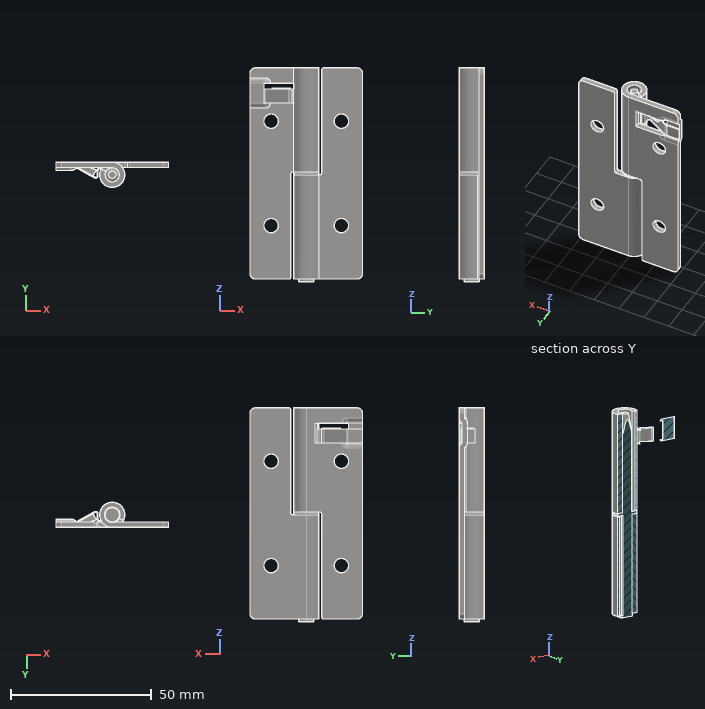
import cadquery as cq
import math


hinge_width = 40.0
leaf_height = 75.0
sheet = 2.0
knuckle_radius = 4.5
bore_radius = knuckle_radius - sheet
leaf_back = knuckle_radius
leaf_front = leaf_back - sheet
leaf_edge = hinge_width / 2
side_gap = 1.0
slot_edge = knuckle_radius + side_gap
outer_corner_radius = 2.0
slot_corner_radius = 0.75
roll_end_angle = 27

lower_knuckle_top = 37.0
collar_height = 1.0
upper_knuckle_bottom = lower_knuckle_top + collar_height
head_radius = 2.7
head_length = 1.0
head_chamfer = 0.2
pin_tip_radius = 1.3
pin_tip_length = 7.0
pin_tip_depth = 0.7

hole_diameter = 5.0
hole_offset = 12.5
hole_pitch = 37.0

bridge_rise = 1.0
bridge_bottom = 62.5
bridge_top = 69.6
bridge_turn = -14.5
bridge_end = -15.0
window_top = 69.5
window_end = -3.05

strip = 0.4
clip_bottom = bridge_bottom
clip_top = 67.5
clip_tail = -leaf_edge
clip_bend_radius = 0.7
clip_leg_x = -5.2
clip_nose_y = -1.5
clip_hook_clearance = 0.2
clip_hook_y = leaf_front - clip_hook_clearance
clip_hook_x = -3.8
tab_rise = 0.2
tab_thickness = 0.3
tab_start = 2.8
tab_end = 8.8
tab_start_depth = 1.8
tab_end_depth = 2.9


def at_angle(radius, degrees):
    """Point on a circle around the hinge axis."""
    angle = math.radians(degrees)
    return (radius * math.cos(angle), radius * math.sin(angle))


def box_between(x1, x2, y1, y2, z1, z2):
    """Box given by its limits along each axis."""
    return cq.Workplane("XY").box(x2 - x1, y2 - y1, z2 - z1, centered=False).translate((x1, y1, z1))



def leaf_plate():
    """Flat part of the right leaf: full width beside its own knuckle, notched above it."""
    reach = slot_corner_radius / 2
    slot_corners = cq.selectors.BoxSelector(
        (slot_edge - reach, leaf_front, lower_knuckle_top - reach),
        (slot_edge + reach, leaf_back, leaf_height + reach),
    ) & cq.selectors.ParallelDirSelector(cq.Vector(0, 1, 0))
    return (
        cq.Workplane("XZ", origin=(0, leaf_back, 0))
        .lineTo(leaf_edge, 0)
        .lineTo(leaf_edge, leaf_height)
        .lineTo(slot_edge, leaf_height)
        .lineTo(slot_edge, lower_knuckle_top)
        .lineTo(0, lower_knuckle_top)
        .close()
        .extrude(sheet)
        .edges("|Y and >X")
        .fillet(outer_corner_radius)
        .edges(slot_corners)
        .fillet(slot_corner_radius)
    )


def rolled_knuckle():
    """Sheet of the right leaf rolled around the pin, starting where the plate touches the axis plane."""
    start, end = 90, 360 + roll_end_angle
    middle = (start + end) / 2
    return (
        cq.Workplane("XY")
        .moveTo(0, knuckle_radius)
        .threePointArc(at_angle(knuckle_radius, middle), at_angle(knuckle_radius, end))
        .lineTo(*at_angle(bore_radius, end))
        .threePointArc(at_angle(bore_radius, middle), (0, bore_radius))
        .close()
        .extrude(lower_knuckle_top)
    )


def screw_holes():
    """Cutter for the two screw holes of the right leaf."""
    return (
        cq.Workplane("XZ", origin=(hole_offset, leaf_back, leaf_height / 2))
        .rarray(0.75, hole_pitch, 1, 2)
        .circle(hole_diameter / 2)
        .extrude(sheet)
    )


def make_leaf():
    return leaf_plate().union(rolled_knuckle()).cut(screw_holes())



bend_angle = math.radians(45)
cos_45 = math.cos(bend_angle)
bend_reach = sheet * cos_45
bend_drop = sheet * (1 - cos_45)
slope_run = bridge_rise - bend_drop
bridge_run = bend_reach + slope_run
half_reach = sheet * math.sin(bend_angle / 2)
half_drop = sheet * (1 - math.cos(bend_angle / 2))


def front_profile(plane):
    """Section through the edge of the bridge, from its front surface to the rear face of the leaf."""
    top = leaf_front - bridge_rise
    return (
        cq.Workplane(plane)
        .moveTo(0, leaf_back)
        .lineTo(0, top)
        .threePointArc((half_reach, top + half_drop), (bend_reach, top + bend_drop))
        .lineTo(bridge_run, leaf_front)
        .lineTo(bridge_run, leaf_back)
        .close()
    )


def channel_profile(plane):
    """Section of the hollow that the bridge leaves in the rear face of the leaf."""
    return (
        cq.Workplane(plane)
        .moveTo(0, leaf_back)
        .lineTo(0, leaf_back - bridge_rise)
        .lineTo(slope_run, leaf_back - bend_drop)
        .threePointArc((bridge_run - half_reach, leaf_back - half_drop), (bridge_run, leaf_back))
        .close()
    )


def bridge_body(profile, crest_y):
    """Solid with the profile along both long sides and turned around the two inner corners."""
    length = bridge_turn + leaf_edge
    upper_corner = cq.Plane((bridge_turn, 0, bridge_top), xDir=(0, 0, 1), normal=(-1, 0, 0))
    upper_side = profile(upper_corner).extrude(length)
    upper_turn = profile(upper_corner).revolve(360, (0, 0), (0, 1))
    upper = upper_side.union(upper_turn)
    lower = upper.mirror("XY", (0, 0, (bridge_bottom + bridge_top) / 2))
    core = box_between(-leaf_edge, bridge_turn, crest_y, leaf_back, bridge_bottom, bridge_top)
    return core.union(upper).union(lower)


def make_left_leaf():
    """The right leaf turned upside down, with the bridge and the window for the clip."""
    middle = leaf_height / 2
    leaf = make_leaf().rotate((0, 0, middle), (0, 1, middle), 180)
    bridge_crest = leaf_front - bridge_rise
    bridge_foot = bridge_turn + bridge_run
    window = box_between(bridge_end, window_end, leaf_front, leaf_back, bridge_bottom, window_top)
    bridge_mouth = box_between(
        bridge_end, bridge_foot, bridge_crest, leaf_front, bridge_bottom, window_top
    )
    return (
        leaf.union(bridge_body(front_profile, bridge_crest))
        .cut(bridge_body(channel_profile, leaf_back - bridge_rise))
        .cut(window)
        .cut(bridge_mouth)
    )



def make_pin():
    """Turned pin: head below the lower knuckle, collar between the knuckles, tapered tip above."""
    collar_middle = lower_knuckle_top + collar_height / 2
    rim_radius = collar_height / 2
    rim_45 = rim_radius * cos_45
    rim_center = knuckle_radius - rim_radius
    tip = leaf_height - pin_tip_depth
    return (
        cq.Workplane("XZ")
        .moveTo(0, -head_length)
        .lineTo(head_radius - head_chamfer, -head_length)
        .lineTo(head_radius, head_chamfer - head_length)
        .lineTo(head_radius, 0)
        .lineTo(bore_radius, 0)
        .lineTo(bore_radius, lower_knuckle_top)
        .lineTo(rim_center, lower_knuckle_top)
        .threePointArc((rim_center + rim_45, collar_middle - rim_45), (knuckle_radius, collar_middle))
        .threePointArc((rim_center + rim_45, collar_middle + rim_45), (rim_center, upper_knuckle_bottom))
        .lineTo(bore_radius, upper_knuckle_bottom)
        .lineTo(bore_radius, tip - pin_tip_length)
        .lineTo(pin_tip_radius, tip)
        .lineTo(0, tip)
        .close()
        .revolve(360, (0, 0), (0, 1))
    )



clip_tail_y = leaf_back - bridge_rise + strip / 2
slope_start = (bridge_end + strip, clip_tail_y)
slope_dx = clip_leg_x - slope_start[0]
slope_dy = clip_nose_y - slope_start[1]
slope_angle = math.degrees(math.atan2(slope_dy, slope_dx))


def clip_strip():
    """Strip swept along its bent middle line: tail, slope, leg and hook."""
    points = [
        (clip_tail, clip_tail_y),
        slope_start,
        (clip_leg_x, clip_nose_y),
        (clip_leg_x, clip_hook_y),
        (clip_hook_x, clip_hook_y),
    ]
    corners = [cq.Vector(x, y, clip_bottom) for x, y in points]
    line = cq.Wire.makePolygon(corners).fillet(clip_bend_radius, None)
    height = clip_top - clip_bottom
    section = cq.Plane(
        (clip_tail, clip_tail_y, clip_bottom + height / 2), xDir=(0, 1, 0), normal=(1, 0, 0)
    )
    return cq.Workplane(section).rect(strip, height).sweep(cq.Workplane(line))


def clip_tab():
    """Tapered tab on the upper edge of the slope, with a rounded bend along the strip."""
    base = cq.Plane((*slope_start, clip_top + tab_rise - tab_thickness)).rotated((0, 0, slope_angle))
    tab_bend_middle = base.toWorldCoords(((tab_start + tab_end) / 2, -strip / 2, tab_thickness))
    return (
        cq.Workplane(base)
        .moveTo(tab_start, -strip / 2)
        .lineTo(tab_end, -strip / 2)
        .lineTo(tab_end, tab_end_depth - strip / 2)
        .lineTo(tab_start, tab_start_depth - strip / 2)
        .close()
        .extrude(tab_thickness)
        .faces(">Z")
        .edges(cq.selectors.NearestToPointSelector(tab_bend_middle))
        .fillet(tab_rise)
    )


def make_clip():
    return clip_strip().union(clip_tab())


right_leaf = make_leaf()
left_leaf = make_left_leaf()
pin = make_pin()
clip = make_clip()

result = cq.Compound.makeCompound([left_leaf.val(), right_leaf.val(), pin.val(), clip.val()])